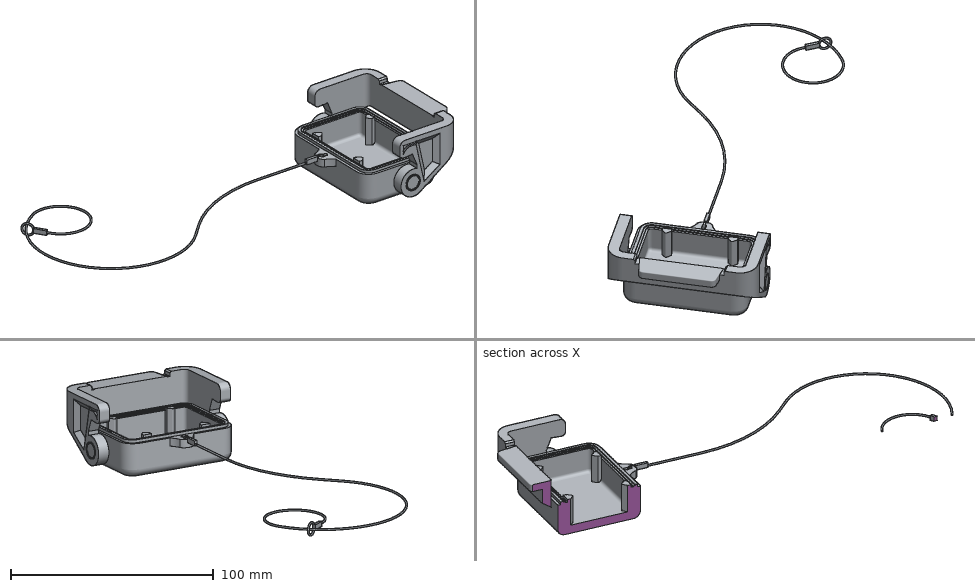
import math

import cadquery as cq


BOX_LENGTH = 62.8
BOX_WIDTH = 45.5
BOX_CORNER_RADIUS = 7.2
BOX_BOTTOM_FILLET = 4.0
SHOULDER_Z = 17.6
RIM_TOP_Z = 19.1
RIM_OVERLAP = 1.0
FLOOR_THICKNESS = 4.8
FLOOR_FILLET = 1.8
RIM_OUTER_INSET = 1.5
RIM_INNER_INSET = 3.1
SEAL_STEP_INSET = 4.2
CAVITY_INSET = 5.3
SEAL_STEP_DEPTH = 0.5
SEAL_SEAT_DEPTH = 1.0

POST_X = 16.7
POST_HALF_WIDTH = 2.4
POST_TIP_Y = 13.2
POST_TIP_RADIUS = 0.6
POST_SHOULDER_Y = POST_TIP_Y + POST_HALF_WIDTH
POST_RISE = 0.5
POST_TOP_Z = RIM_TOP_Z + POST_RISE

EAR_HALF_WIDTH = 7.0
EAR_FLANK_HALF_WIDTH = 5.2
EAR_FLANK_Y = -24.8
EAR_TIP_HALF_WIDTH = 3.9
EAR_TIP_START_Y = -27.5
EAR_TIP_Y = -29.4
EAR_BOTTOM_Z = 13.4
EAR_ROOT_OVERLAP = 1.0
EAR_SLOT_WIDTH = 2.0
EAR_SLOT_LENGTH = 4.4
EAR_SLOT_Y = -25.0

BRACKET_HALF_LENGTH = 37.7
ARM_THICKNESS = 5.9
ARM_INNER_X = BRACKET_HALF_LENGTH - ARM_THICKNESS
BRACKET_TOP_Z = 34.55
BRACKET_BACK_Y = 31.2
BACK_WALL_THICKNESS = 5.0
BACK_WALL_INNER_Y = BRACKET_BACK_Y - BACK_WALL_THICKNESS
BACK_WALL_BOTTOM_Z = 20.5
BRACKET_OUTER_RADIUS = 9.0
BRACKET_INNER_RADIUS = 2.8
HOOK_FRONT_Y = -6.5
HOOK_BOTTOM_Z = 24.8
HOOK_TOP_RADIUS = 3.5
HOOK_BOTTOM_RADIUS = 2.3
THROAT_TOP_Y = 1.4
THROAT_TOP_Z = 25.4
THROAT_BOTTOM_Y = 4.1
THROAT_BOTTOM_Z = 18.8

PIVOT_Y = 1.9
PIVOT_Z = 9.5
PIVOT_DISC_RADIUS = 7.6
PIN_RADIUS = 3.7
PIN_BORE_RADIUS = 4.3
PIN_GROOVE_DEPTH = 0.6
PIN_ENGAGEMENT = 1.5
PIN_ARM_OVERLAP = 1.0

RECESS_DEPTH = 2.3
RECESS_DRAFT = 52.0
RECESS_TOP_Z = 31.8
RECESS_CORNERS = [
    (18.3, RECESS_TOP_Z),
    (18.3, 14.6),
    (8.5, 8.2),
    (3.2, RECESS_TOP_Z),
]
HOOK_RECESS_DEPTH = 1.2
HOOK_RECESS_BACK_Y = 4.5
HOOK_RECESS_FRONT_Y = -4.2
HOOK_RECESS_FRONT_Z = 27.0
HOOK_RECESS_MID_Y = -2.5
HOOK_RECESS_MID_Z = 29.2
HOOK_RECESS_BEND_Y = -0.5
HOOK_RECESS_BACK_Z = 30.2

NOTCH_HALF_LENGTH = 22.4
NOTCH_FLOOR_Z = 32.0
NOTCH_CHAMFER = 0.8
TAB_TIP_Y = 37.7
TAB_BASE_HALF_LENGTH = 21.1
TAB_TIP_HALF_LENGTH = 19.2
TAB_TOP_Z = 32.4
TAB_THICKNESS = 4.1
TAB_CORNER_RADIUS = 2.5
TAB_EDGE_FILLET = 0.5

CORD_RADIUS = 0.5
CORD_Z = 16.6
CORD_END_Y = -198.57
BEND_RADIUS = 75.0
BEND_ANGLE = 45.0
SWEEP_RADIUS = 42.0
LOOP_RADIUS = 15.0
LOOP_START_ANGLE = 210.0
LOOP_END_ANGLE = -58.0
CORD_START_Y = EAR_TIP_Y + 2 * CORD_RADIUS
CRIMP_LENGTH = 7.0
CRIMP_WIDTH = 1.6
CRIMP_HEIGHT = 2.6
EAR_CRIMP_START_Y = -28.8
EAR_CRIMP_CENTRE_Z = 17.2
EAR_LOOP_TOP_Y = -26.6
EAR_LOOP_TOP_Z = 18.6
LOOP_CRIMP_GAP = 1.5
EYE_RADIUS = 3.1


def box_block(inset, bottom, top):
    """Rounded rectangular block, set in from the box outline."""
    return (
        cq.Workplane("XY")
        .workplane(offset=bottom)
        .rect(BOX_LENGTH - 2 * inset, BOX_WIDTH - 2 * inset)
        .extrude(top - bottom)
        .edges("|Z")
        .fillet(BOX_CORNER_RADIUS - inset)
    )


def make_post(side_x, side_y):
    wall_y = BOX_WIDTH / 2 - CAVITY_INSET
    corners = [
        (-POST_HALF_WIDTH, wall_y),
        (-POST_HALF_WIDTH, POST_SHOULDER_Y),
        (0, POST_TIP_Y),
        (POST_HALF_WIDTH, POST_SHOULDER_Y),
        (POST_HALF_WIDTH, wall_y),
    ]
    points = [(side_x * POST_X + x, side_y * y) for x, y in corners]
    base_z = FLOOR_THICKNESS / 2
    post = cq.Workplane("XY").workplane(offset=base_z).polyline(points).close().extrude(POST_TOP_Z - base_z)
    tip_edge = "|Z and <Y" if side_y > 0 else "|Z and >Y"
    return post.edges(tip_edge).fillet(POST_TIP_RADIUS)


def make_box():
    body = box_block(0, 0, SHOULDER_Z).faces("<Z").edges().fillet(BOX_BOTTOM_FILLET)
    body = body.union(box_block(RIM_OUTER_INSET, SHOULDER_Z - RIM_OVERLAP, RIM_TOP_Z))
    cavity = box_block(CAVITY_INSET, FLOOR_THICKNESS, RIM_TOP_Z)
    body = body.cut(cavity.faces("<Z").edges().fillet(FLOOR_FILLET))
    body = body.cut(box_block(SEAL_STEP_INSET, RIM_TOP_Z - SEAL_SEAT_DEPTH, RIM_TOP_Z))
    body = body.cut(box_block(RIM_INNER_INSET, RIM_TOP_Z - SEAL_STEP_DEPTH, RIM_TOP_Z))
    for side_x in (-1, 1):
        for side_y in (-1, 1):
            body = body.union(make_post(side_x, side_y))
    return body


def make_ear():
    root_y = -BOX_WIDTH / 2
    ear = (
        cq.Workplane("XY")
        .workplane(offset=EAR_BOTTOM_Z)
        .moveTo(-EAR_HALF_WIDTH, root_y + EAR_ROOT_OVERLAP)
        .lineTo(-EAR_HALF_WIDTH, root_y)
        .threePointArc((-EAR_FLANK_HALF_WIDTH, EAR_FLANK_Y), (-EAR_TIP_HALF_WIDTH, EAR_TIP_START_Y))
        .threePointArc((0, EAR_TIP_Y), (EAR_TIP_HALF_WIDTH, EAR_TIP_START_Y))
        .threePointArc((EAR_FLANK_HALF_WIDTH, EAR_FLANK_Y), (EAR_HALF_WIDTH, root_y))
        .lineTo(EAR_HALF_WIDTH, root_y + EAR_ROOT_OVERLAP)
        .close()
        .extrude(SHOULDER_Z - EAR_BOTTOM_Z)
    )
    slot = (
        cq.Workplane("XY")
        .workplane(offset=EAR_BOTTOM_Z)
        .center(0, EAR_SLOT_Y)
        .slot2D(EAR_SLOT_LENGTH, EAR_SLOT_WIDTH, 90)
        .extrude(SHOULDER_Z - EAR_BOTTOM_Z)
    )
    return ear.cut(slot)


def bracket_plan():
    """The U of the bracket, as a tall block."""
    outer = (
        cq.Workplane("XY")
        .rect(2 * BRACKET_HALF_LENGTH, 2 * BRACKET_BACK_Y)
        .extrude(BRACKET_TOP_Z)
        .edges("|Z")
        .fillet(BRACKET_OUTER_RADIUS)
    )
    inner = (
        cq.Workplane("XY")
        .rect(2 * ARM_INNER_X, 2 * BACK_WALL_INNER_Y)
        .extrude(BRACKET_TOP_Z)
        .edges("|Z")
        .fillet(BRACKET_INNER_RADIUS)
    )
    return outer.cut(inner)


def side_plane(start_x=-BRACKET_HALF_LENGTH):
    """Workplane whose local axes are Y and Z, facing +X."""
    return cq.Workplane("YZ").workplane(offset=start_x)


def bracket_profile():
    """Side shape of the bracket, spanning its full length in X."""
    span = 2 * BRACKET_HALF_LENGTH
    distance = math.hypot(BRACKET_BACK_Y - PIVOT_Y, BACK_WALL_BOTTOM_Z - PIVOT_Z)
    heading = math.atan2(BACK_WALL_BOTTOM_Z - PIVOT_Z, BRACKET_BACK_Y - PIVOT_Y)
    tangent = heading - math.acos(PIVOT_DISC_RADIUS / distance)
    tangent_y = PIVOT_Y + PIVOT_DISC_RADIUS * math.cos(tangent)
    tangent_z = PIVOT_Z + PIVOT_DISC_RADIUS * math.sin(tangent)
    arm = (
        side_plane()
        .polyline(
            [
                (BRACKET_BACK_Y, BRACKET_TOP_Z),
                (BRACKET_BACK_Y, BACK_WALL_BOTTOM_Z),
                (tangent_y, tangent_z),
                (PIVOT_Y, PIVOT_Z),
                (THROAT_BOTTOM_Y, PIVOT_Z),
                (THROAT_BOTTOM_Y, THROAT_BOTTOM_Z),
                (THROAT_TOP_Y, THROAT_TOP_Z),
                (HOOK_FRONT_Y, HOOK_BOTTOM_Z),
                (HOOK_FRONT_Y, BRACKET_TOP_Z),
            ]
        )
        .close()
        .extrude(span)
    )
    arm = arm.faces("<Y").edges(">Z").fillet(HOOK_TOP_RADIUS)
    arm = arm.faces("<Y").edges("<Z").fillet(HOOK_BOTTOM_RADIUS)
    disc = side_plane().center(PIVOT_Y, PIVOT_Z).circle(PIVOT_DISC_RADIUS).extrude(span)
    return arm.union(disc)


def arm_recess():
    """Recess of the -X arm: a drafted pocket and a shallow branch along the hook."""
    pocket = side_plane().polyline(RECESS_CORNERS).close().extrude(RECESS_DEPTH, taper=RECESS_DRAFT)
    branch = (
        side_plane()
        .moveTo(HOOK_RECESS_BACK_Y, RECESS_TOP_Z)
        .lineTo(HOOK_RECESS_FRONT_Y, RECESS_TOP_Z)
        .lineTo(HOOK_RECESS_FRONT_Y, HOOK_RECESS_FRONT_Z)
        .threePointArc((HOOK_RECESS_MID_Y, HOOK_RECESS_MID_Z), (HOOK_RECESS_BEND_Y, HOOK_RECESS_BACK_Z))
        .lineTo(HOOK_RECESS_BACK_Y, HOOK_RECESS_BACK_Z)
        .close()
        .extrude(HOOK_RECESS_DEPTH)
    )
    groove = (
        side_plane()
        .center(PIVOT_Y, PIVOT_Z)
        .circle(PIN_BORE_RADIUS)
        .circle(PIN_RADIUS)
        .extrude(PIN_GROOVE_DEPTH)
    )
    return pocket.union(branch).union(groove)


def make_tab():
    base_y = BACK_WALL_INNER_Y
    return (
        cq.Workplane("XY")
        .workplane(offset=TAB_TOP_Z - TAB_THICKNESS)
        .polyline(
            [
                (-TAB_BASE_HALF_LENGTH, base_y),
                (TAB_BASE_HALF_LENGTH, base_y),
                (TAB_TIP_HALF_LENGTH, TAB_TIP_Y),
                (-TAB_TIP_HALF_LENGTH, TAB_TIP_Y),
            ]
        )
        .close()
        .extrude(TAB_THICKNESS)
        .edges("|Z and >Y")
        .fillet(TAB_CORNER_RADIUS)
        .faces(">Y")
        .edges("|X")
        .fillet(TAB_EDGE_FILLET)
    )


def make_bracket():
    bracket = bracket_plan().intersect(bracket_profile())
    recess = arm_recess()
    bracket = bracket.cut(recess).cut(recess.mirror("YZ"))
    wide = NOTCH_HALF_LENGTH + NOTCH_CHAMFER
    notch = (
        cq.Workplane("XZ", origin=(0, BRACKET_BACK_Y, 0))
        .polyline(
            [
                (-NOTCH_HALF_LENGTH, NOTCH_FLOOR_Z),
                (NOTCH_HALF_LENGTH, NOTCH_FLOOR_Z),
                (NOTCH_HALF_LENGTH, BRACKET_TOP_Z - NOTCH_CHAMFER),
                (wide, BRACKET_TOP_Z),
                (-wide, BRACKET_TOP_Z),
                (-NOTCH_HALF_LENGTH, BRACKET_TOP_Z - NOTCH_CHAMFER),
            ]
        )
        .close()
        .extrude(BACK_WALL_THICKNESS)
    )
    return bracket.cut(notch).union(make_tab())


def make_pins():
    start = -ARM_INNER_X - PIN_ARM_OVERLAP
    end = -BOX_LENGTH / 2 + PIN_ENGAGEMENT
    pin = side_plane(start).center(PIVOT_Y, PIVOT_Z).circle(PIN_RADIUS).extrude(end - start)
    return pin.union(pin.mirror("YZ"))


def on_circle(centre, radius, degrees):
    angle = math.radians(degrees)
    return (centre[0] + radius * math.cos(angle), centre[1] + radius * math.sin(angle))


def crimp(centre, degrees):
    return (
        cq.Workplane("XY")
        .box(CRIMP_LENGTH, CRIMP_WIDTH, CRIMP_HEIGHT)
        .rotate((0, 0, 0), (0, 0, 1), degrees)
        .translate(centre)
    )


def make_cord():
    sweep_centre = (0, CORD_END_Y + CORD_RADIUS + SWEEP_RADIUS)
    bend_radians = math.radians(BEND_ANGLE)
    sweep_start = on_circle(sweep_centre, SWEEP_RADIUS, BEND_ANGLE)
    bend_end_x = BEND_RADIUS * (1 - math.cos(bend_radians))
    bend_end = (bend_end_x, sweep_start[1] + (sweep_start[0] - bend_end_x) / math.tan(bend_radians))
    bend_centre = (BEND_RADIUS, bend_end[1] + BEND_RADIUS * math.sin(bend_radians))
    bend_start = (0, bend_centre[1])
    bend_middle = on_circle(bend_centre, BEND_RADIUS, 180 + BEND_ANGLE / 2)
    loop_centre = on_circle(sweep_centre, SWEEP_RADIUS - LOOP_RADIUS, LOOP_START_ANGLE)
    loop_start = on_circle(loop_centre, LOOP_RADIUS, LOOP_START_ANGLE)
    loop_end = on_circle(loop_centre, LOOP_RADIUS, LOOP_END_ANGLE)
    loop_middle = on_circle(loop_centre, LOOP_RADIUS, (LOOP_START_ANGLE + LOOP_END_ANGLE) / 2)
    sweep_middle = on_circle(sweep_centre, SWEEP_RADIUS, (BEND_ANGLE + LOOP_START_ANGLE - 360) / 2)
    tail_heading = LOOP_END_ANGLE - 90
    tail_end = on_circle(loop_end, LOOP_CRIMP_GAP + CRIMP_LENGTH / 2, tail_heading)
    path = (
        cq.Workplane("XY", origin=(0, 0, CORD_Z))
        .moveTo(0, CORD_START_Y)
        .lineTo(*bend_start)
        .threePointArc(bend_middle, bend_end)
        .lineTo(*sweep_start)
        .threePointArc(sweep_middle, loop_start)
        .threePointArc(loop_middle, loop_end)
        .lineTo(*tail_end)
    )
    cord = cq.Workplane("XZ", origin=(0, CORD_START_Y, CORD_Z)).circle(CORD_RADIUS).sweep(path)
    cord = cord.union(crimp((*tail_end, CORD_Z), tail_heading))
    eye_distance = LOOP_CRIMP_GAP + CRIMP_LENGTH + EYE_RADIUS
    eye_centre = on_circle(loop_end, eye_distance, tail_heading)
    eye_axis_heading = math.radians(tail_heading + 90)
    eye_axis = cq.Vector(math.cos(eye_axis_heading), math.sin(eye_axis_heading), 0)
    eye = cq.Solid.makeTorus(EYE_RADIUS, CORD_RADIUS, cq.Vector(*eye_centre, CORD_Z), eye_axis)
    cord = cord.union(cq.Workplane(eye))
    crimp_y = EAR_CRIMP_START_Y - CRIMP_LENGTH / 2
    cord = cord.union(crimp((0, crimp_y, EAR_CRIMP_CENTRE_Z), 90))
    strand_start_y = EAR_CRIMP_START_Y - CORD_RADIUS
    strand_path = (
        cq.Workplane("YZ")
        .moveTo(strand_start_y, EAR_CRIMP_CENTRE_Z)
        .threePointArc((EAR_LOOP_TOP_Y, EAR_LOOP_TOP_Z), (EAR_SLOT_Y, CORD_Z))
    )
    strand = (
        cq.Workplane("XZ", origin=(0, strand_start_y, EAR_CRIMP_CENTRE_Z))
        .circle(CORD_RADIUS)
        .sweep(strand_path)
    )
    return cord.union(strand)


result = make_box().union(make_ear()).union(make_bracket()).union(make_pins()).union(make_cord())